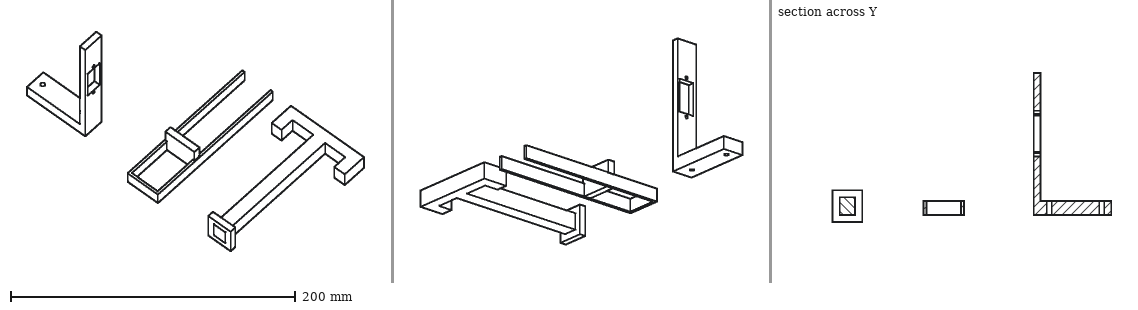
import cadquery as cq

bracket_length = 54.8
bracket_width = 17.4
bracket_height = 100.0
bracket_front_y = 10.3
foot_thickness = 10.0
column_thickness = 5.0
foot_hole_diameter = 3.3
foot_hole_xs = (6.8, 43.8)
foot_hole_y = bracket_front_y + 9.0
window_width = 12.8
window_height = 25.0
window_center_y = bracket_front_y + 9.0
window_center_z = 57.2
screw_hole_diameter = 2.11
screw_hole_spacing = 30.0

frame_left_x = 103.7
frame_width = 28.6
frame_length = 122.0
frame_height = foot_thickness
frame_wall = 2.2

plate_inset = 0.7
plate_width = frame_width - 2 * plate_inset
plate_left_x = frame_left_x + plate_inset
plate_front_y = 39.5
plate_thickness = 5.5
plate_height = 20.0

overall_length = 220.1
handle_width = 68.7
handle_left_x = overall_length - handle_width
handle_thickness = 12.5
handle_back_y = 119.5
crossbar_depth = 8.8
arm_reach = 20.5
left_arm_width = 9.2
right_arm_width = 10.0
stem_width = 11.0
stem_left_x = handle_left_x + 28.8
stem_front_y = 4.8

cap_margin = 5.0
cap_left_x = stem_left_x - cap_margin
cap_width = stem_width + 2 * cap_margin
cap_thickness = 5.0
cap_bottom_z = -cap_margin
cap_height = handle_thickness + 2 * cap_margin


def block(x, y, z, length, width, height):
    """Box with its lowest corner at (x, y, z)."""
    return cq.Workplane("XY").box(length, width, height, centered=False).translate((x, y, z))


def make_bracket():
    column_x = bracket_length - column_thickness
    foot = block(0, bracket_front_y, 0, bracket_length, bracket_width, foot_thickness)
    column = block(column_x, bracket_front_y, 0, column_thickness, bracket_width, bracket_height)
    foot_holes = (
        cq.Workplane("XY")
        .pushPoints([(x, foot_hole_y) for x in foot_hole_xs])
        .circle(foot_hole_diameter / 2)
        .extrude(foot_thickness)
    )
    column_face = cq.Workplane("YZ", origin=(column_x, window_center_y, window_center_z))
    window = column_face.rect(window_width, window_height).extrude(column_thickness)
    screw_holes = (
        column_face.pushPoints([(0, side * screw_hole_spacing / 2) for side in (-1, 1)])
        .circle(screw_hole_diameter / 2)
        .extrude(column_thickness)
    )
    return foot.union(column).cut(foot_holes).cut(window).cut(screw_holes)


def make_plate():
    tongue = block(
        frame_left_x + frame_wall,
        plate_front_y,
        0,
        frame_width - 2 * frame_wall,
        plate_thickness,
        frame_height,
    )
    head_height = plate_height - frame_height
    head = block(plate_left_x, plate_front_y, frame_height, plate_width, plate_thickness, head_height)
    return tongue.union(head)


def make_frame():
    outside = block(frame_left_x, 0, 0, frame_width, frame_length, frame_height)
    opening = block(
        frame_left_x + frame_wall,
        frame_wall,
        0,
        frame_width - 2 * frame_wall,
        frame_length - frame_wall,
        frame_height,
    )
    return outside.cut(opening)


def make_handle():
    crossbar_y = handle_back_y - crossbar_depth
    arm_y = handle_back_y - arm_reach
    right_arm_x = overall_length - right_arm_width
    stem_length = handle_back_y - stem_front_y
    crossbar = block(handle_left_x, crossbar_y, 0, handle_width, crossbar_depth, handle_thickness)
    left_arm = block(handle_left_x, arm_y, 0, left_arm_width, arm_reach, handle_thickness)
    right_arm = block(right_arm_x, arm_y, 0, right_arm_width, arm_reach, handle_thickness)
    stem = block(stem_left_x, stem_front_y, 0, stem_width, stem_length, handle_thickness)
    return crossbar.union(left_arm).union(right_arm).union(stem)


def make_cap(handle):
    collar = block(cap_left_x, stem_front_y, cap_bottom_z, cap_width, cap_thickness, cap_height)
    return collar.cut(handle)


bracket = make_bracket()
plate = make_plate()
frame = make_frame()
handle = make_handle()
cap = make_cap(handle)

result = cq.Compound.makeCompound(
    [bracket.val(), plate.val(), frame.val(), handle.val(), cap.val()]
)